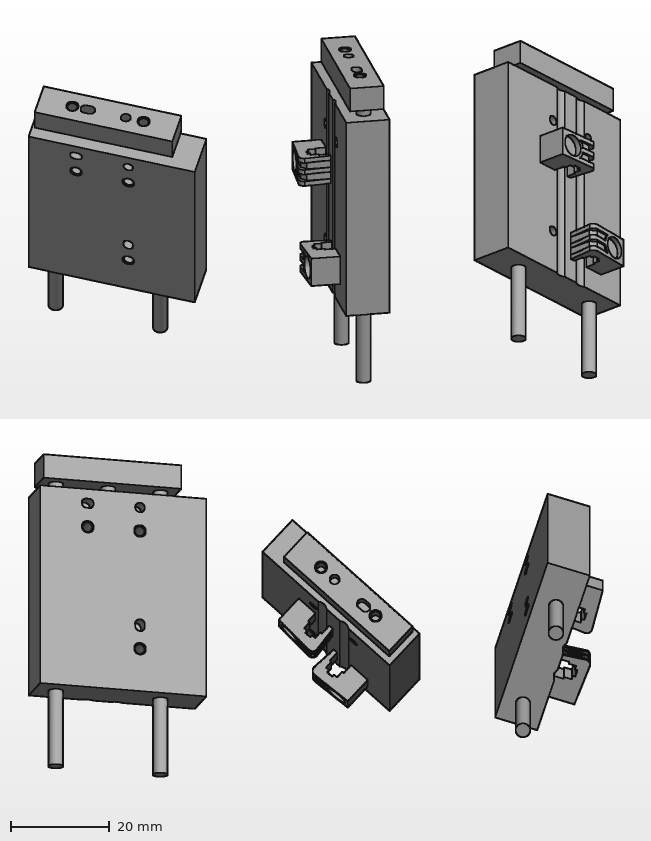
import cadquery as cq
import math


housing_width = 35.0
housing_depth = 9.0
housing_height = 42.0
housing_left = -15.5
housing_back = housing_depth / 2

plate_width = 29.0
plate_depth = 7.0
plate_height = 5.0
plate_gap = 2.0
plate_bottom = housing_height + plate_gap
plate_top = plate_bottom + plate_height

rod_diameter = 3.0
guide_rod_offset = 11.0
guide_rod_overhang = 16.0
piston_rod_insertion = 20.0

screw_hole_diameter = 2.01
screw_hole_mouth_diameter = 2.5
screw_hole_chamfer = (screw_hole_mouth_diameter - screw_hole_diameter) / 2
dowel_diameter = 2.0
dowel_depth = 3.0

housing_hole_offset = 5.5
upper_dowel_z = housing_height - 3.0
lower_dowel_z = housing_height - 28.0
screw_below_dowel = 5.0
housing_slot_length = 2.5

plate_screw_offset = 7.5
plate_screw_depth = 4.0
plate_dowel_x = 3.75
plate_slot_x = -4.25
plate_slot_length = 3.0

sensor_offset = 3.0
sensor_groove_diameter = 4.0
sensor_groove_depth = 0.4

holder_half_span = 9.5
holder_height = 6.5
holder_side_height = 6.0
holder_thickness = 6.0
holder_foot_x = 0.1
upper_holder_z = housing_height - 19.0
lower_holder_z = housing_height - 37.3
sensor_slot_steps = [(3.8, 2.2), (3.0, 3.8), (1.4, 4.35)]

rib_round_radius = 1.2
rib_round_x = 0.8
rib_round_height = holder_height - rib_round_radius
rib_edge_top = 5.5
rib_thickness = 1.0
gap_count = 2
gap_thickness = (holder_thickness - (gap_count + 1) * rib_thickness) / gap_count
gap_scoop_radius = 3.0
gap_scoop_start = (holder_foot_x, 4.95)
gap_scoop_end = (1.3, 5.97)

pad_diameter = 6.0
pad_x = holder_half_span - pad_diameter / 2
pad_recess_diameter = 4.6
pad_recess_depth = 1.0


def tapped_hole(depth):
    """Screw hole along -Z with its chamfered mouth at the origin."""
    hole = cq.Workplane("XY").circle(screw_hole_diameter / 2).extrude(-depth)
    mouth = cq.Solid.makeCone(
        screw_hole_diameter / 2, screw_hole_mouth_diameter / 2, screw_hole_chamfer,
        cq.Vector(0, 0, -screw_hole_chamfer),
    )
    return hole.union(cq.Workplane(mouth))


def dowel_hole():
    """Round dowel hole along -Z from the origin."""
    return cq.Workplane("XY").circle(dowel_diameter / 2).extrude(-dowel_depth)


def dowel_slot(length, angle=0):
    """Elongated dowel hole along -Z from the origin."""
    return cq.Workplane("XY").slot2D(length, dowel_diameter, angle).extrude(-dowel_depth)


def on_housing_front(tool, x, z):
    """Turn a tool made along -Z so that it enters the front face of the housing."""
    return tool.rotate((0, 0, 0), (1, 0, 0), 90).translate((x, -housing_depth / 2, z))


def make_housing():
    body = cq.Workplane("XY").box(
        housing_width, housing_depth, housing_height, centered=(False, True, False)
    ).translate((housing_left, 0, 0))

    for x in (-guide_rod_offset, guide_rod_offset):
        body = body.cut(make_guide_rod(x))
    body = body.cut(make_piston_rod())

    left, right = -housing_hole_offset, housing_hole_offset
    dowels = [
        (dowel_slot(housing_slot_length), left, upper_dowel_z),
        (dowel_hole(), right, upper_dowel_z),
        (dowel_slot(housing_slot_length, angle=90), right, lower_dowel_z),
    ]
    for dowel, x, z in dowels:
        body = body.cut(on_housing_front(dowel, x, z))
        body = body.cut(on_housing_front(tapped_hole(housing_depth), x, z - screw_below_dowel))

    groove_radius = sensor_groove_diameter / 2
    groove_y = housing_back + groove_radius - sensor_groove_depth
    grooves = (
        cq.Workplane("XY")
        .pushPoints([(-sensor_offset, groove_y), (sensor_offset, groove_y)])
        .circle(groove_radius)
        .extrude(housing_height)
    )
    return body.cut(grooves)


def make_guide_rod(x):
    """Rod from the underside of the plate through the housing and out below it."""
    length = plate_bottom + guide_rod_overhang
    rod = cq.Workplane("XY").circle(rod_diameter / 2).extrude(length)
    return rod.translate((x, 0, -guide_rod_overhang))


def make_piston_rod():
    """Rod from the underside of the plate into the housing."""
    rod = cq.Workplane("XY").circle(rod_diameter / 2).extrude(plate_gap + piston_rod_insertion)
    return rod.translate((0, 0, housing_height - piston_rod_insertion))


def make_plate():
    """Moving plate, in one piece with the piston rod."""
    body = cq.Workplane("XY").box(
        plate_width, plate_depth, plate_height, centered=(True, True, False)
    ).translate((0, 0, plate_bottom))
    tools = [
        (tapped_hole(plate_screw_depth), -plate_screw_offset),
        (tapped_hole(plate_screw_depth), plate_screw_offset),
        (dowel_hole(), plate_dowel_x),
        (dowel_slot(plate_slot_length), plate_slot_x),
    ]
    for tool, x in tools:
        body = body.cut(tool.translate((x, 0, plate_top)))
    return body.union(make_piston_rod())


def rib_round_point(direction):
    """Point on the rib rounding in the given direction (radians) from its centre."""
    return (
        rib_round_x + rib_round_radius * math.cos(direction),
        rib_round_height + rib_round_radius * math.sin(direction),
    )


def make_holder_blank():
    """Outline of the ribs, with the roof tangent to the rib rounding."""
    dx = holder_half_span - rib_round_x
    dy = holder_side_height - rib_round_height
    roof_direction = math.atan2(dy, dx) + math.acos(rib_round_radius / math.hypot(dx, dy))
    edge_direction = math.pi - math.asin((rib_edge_top - rib_round_height) / rib_round_radius)
    middle_direction = (roof_direction + edge_direction) / 2
    return (
        cq.Workplane("XY")
        .moveTo(holder_foot_x, 0)
        .lineTo(holder_half_span, 0)
        .lineTo(holder_half_span, holder_side_height)
        .lineTo(*rib_round_point(roof_direction))
        .threePointArc(rib_round_point(middle_direction), rib_round_point(edge_direction))
        .close()
        .extrude(holder_thickness)
    )


def round_pad_tool(diameter, bottom_height):
    """Cylinder along Y on the pad axis, from the given height to the holder top."""
    return (
        cq.Workplane("XZ", origin=(pad_x, bottom_height, holder_thickness / 2))
        .circle(diameter / 2)
        .extrude(bottom_height - holder_height)
    )


def make_gap():
    """Space between two ribs: flat inner edge, concave scoop, then a shelf up to the pad."""
    clear_x = -rib_round_radius
    return (
        cq.Workplane("XY")
        .moveTo(clear_x, 0)
        .lineTo(holder_foot_x, 0)
        .lineTo(*gap_scoop_start)
        .radiusArc(gap_scoop_end, -gap_scoop_radius)
        .lineTo(pad_x, gap_scoop_end[1])
        .lineTo(pad_x, holder_height)
        .lineTo(clear_x, holder_height)
        .close()
        .extrude(gap_thickness)
    )


def make_holder(bottom):
    """Sensor holder on the +X side, with its ribbed edge near X = 0."""
    body = make_holder_blank()

    for width, height in sensor_slot_steps:
        step = cq.Workplane("XY").rect(width, 2 * height).extrude(holder_thickness)
        body = body.cut(step.translate((sensor_offset, 0, 0)))

    pad = round_pad_tool(pad_diameter, gap_scoop_end[1])
    for index in range(gap_count):
        gap_z = rib_thickness + index * (rib_thickness + gap_thickness)
        body = body.cut(make_gap().translate((0, 0, gap_z)).cut(pad))

    body = body.cut(round_pad_tool(pad_recess_diameter, holder_side_height - pad_recess_depth))
    return body.translate((0, housing_back, bottom))


housing = make_housing()
plate = make_plate()
guide_rods = [make_guide_rod(x) for x in (-guide_rod_offset, guide_rod_offset)]
holders = [make_holder(upper_holder_z), make_holder(lower_holder_z).mirror("YZ")]

bodies = [housing, plate, *guide_rods, *holders]
result = cq.Compound.makeCompound([body.solids().val() for body in bodies])